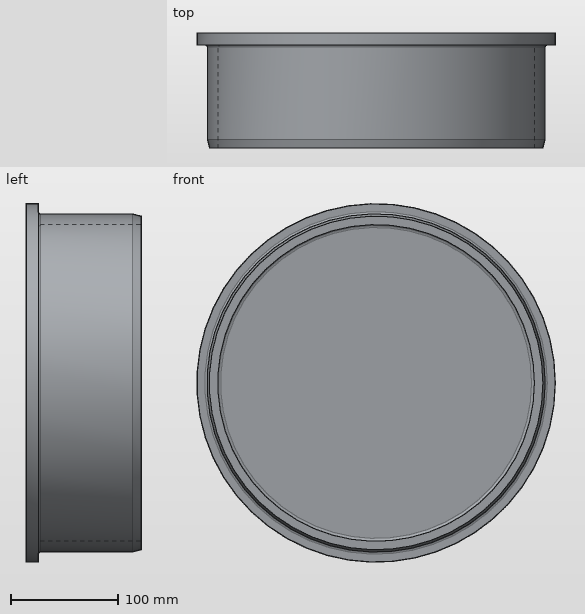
import cadquery as cq
import math

total_depth = 107.5
flange_diameter = 334.5
flange_thickness = 11.5
floor_thickness = 11.5
wall_outer_diameter = 315.5
bore_diameter = 295.5
root_fillet = 2.0
floor_fillet = 2.7
lead_in_length = 8.0
lead_in_angle = 15.0

flange_radius = flange_diameter / 2
wall_radius = wall_outer_diameter / 2
bore_radius = bore_diameter / 2
rim_radius = wall_radius - lead_in_length * math.tan(math.radians(lead_in_angle))

rim_y = -total_depth / 2
back_y = total_depth / 2
flange_front_y = back_y - flange_thickness
floor_y = back_y - floor_thickness
lead_in_end_y = rim_y + lead_in_length


def fillet_midpoint(center_x, center_y, radius, side):
    """Middle of a quarter arc facing +Y; side is -1 or +1 along X."""
    offset = radius * math.sqrt(0.5)
    return center_x + side * offset, center_y + offset


root_mid = fillet_midpoint(wall_radius + root_fillet, flange_front_y - root_fillet, root_fillet, -1)
floor_mid = fillet_midpoint(bore_radius - floor_fillet, floor_y - floor_fillet, floor_fillet, 1)

half_section = (
    cq.Workplane("XY")
    .moveTo(0, back_y)
    .lineTo(flange_radius, back_y)
    .lineTo(flange_radius, flange_front_y)
    .lineTo(wall_radius + root_fillet, flange_front_y)
    .threePointArc(root_mid, (wall_radius, flange_front_y - root_fillet))
    .lineTo(wall_radius, lead_in_end_y)
    .lineTo(rim_radius, rim_y)
    .lineTo(bore_radius, rim_y)
    .lineTo(bore_radius, floor_y - floor_fillet)
    .threePointArc(floor_mid, (bore_radius - floor_fillet, floor_y))
    .lineTo(0, floor_y)
    .close()
)

result = half_section.revolve(360, (0, 0, 0), (0, 1, 0))